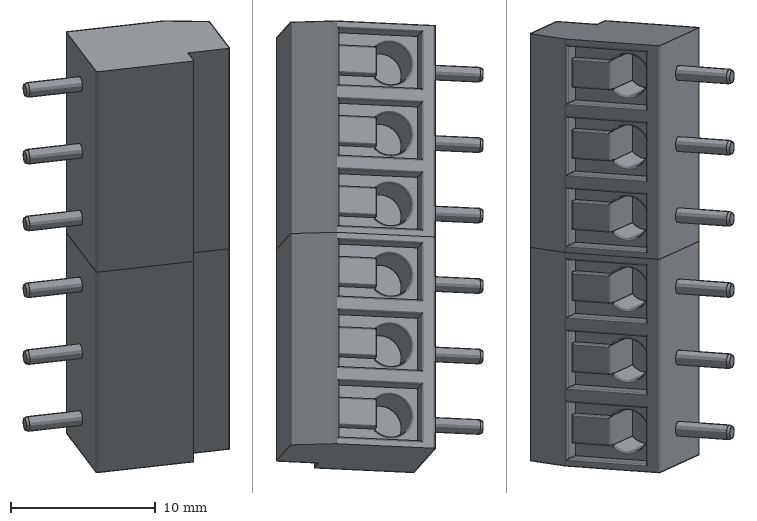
import cadquery as cq

row_height = 30.0
housing_count = 2
poles_per_housing = 3
housing_height = row_height / housing_count
pitch = housing_height / poles_per_housing
housing_width = 7.5
housing_length = 10.02
shoulder_length = 3.0
slope_inset = 1.0
step_depth = 1.5
edge_round = 0.1

window_start = 1.0
window_end = 6.8
window_height = 4.0
window_depth = 1.38

block_start = 4.0
block_height = 2.0
block_setback = 0.72

wire_hole_radius = 1.5
wire_hole_y = 2.9
wire_hole_depth = 3.6

pin_radius = 0.5
pin_length = 4.0
pin_x = 3.5
pin_chamfer_length = 0.2
pin_chamfer_inset = 0.1


def pole_heights(count):
    """Z of each pole axis, counted up from Z = 0."""
    return [(i + 0.5) * pitch for i in range(count)]


def box_between(x_range, y_range, z_center, height):
    """Box with the given X and Y ranges, centred on z_center."""
    return (
        cq.Workplane("XY")
        .box(x_range[1] - x_range[0], y_range[1] - y_range[0], height, centered=(False, False, True))
        .translate((x_range[0], y_range[0], z_center))
    )


def cut_window(housing, z):
    """Recess in the -X face, with its rim rounded."""
    window = box_between((0, window_depth), (window_start, window_end), z, window_height)
    rim = cq.selectors.BoxSelector(
        (-edge_round, window_start - edge_round, z - window_height / 2 - edge_round),
        (edge_round, window_end + edge_round, z + window_height / 2 + edge_round),
    )
    return housing.cut(window).edges(rim).fillet(edge_round)


def make_raised_block(z):
    """Block on the window floor, with the edges of its front face rounded."""
    block = box_between((block_setback, window_depth), (block_start, window_end), z, block_height)
    return block.faces("<X").edges().fillet(edge_round)


def cut_wire_hole(housing, z):
    """Round hole in the window floor, flat where it meets the raised block."""
    floor_x = window_depth
    hole = (
        cq.Workplane("YZ", origin=(floor_x, wire_hole_y, z))
        .circle(wire_hole_radius)
        .extrude(wire_hole_depth)
    )
    hole_side = box_between(
        (floor_x, floor_x + wire_hole_depth),
        (wire_hole_y - wire_hole_radius, block_start),
        z,
        2 * wire_hole_radius,
    )
    arc_rim = cq.selectors.BoxSelector(
        (floor_x - edge_round, wire_hole_y - wire_hole_radius, z - wire_hole_radius),
        (floor_x + edge_round, block_start, z + wire_hole_radius),
    )
    drilled = housing.cut(hole.intersect(hole_side))
    return drilled.edges(arc_rim).edges("%CIRCLE").fillet(edge_round)


def make_plain_housing():
    """Solid housing with its convex vertical edges rounded."""
    shoulder_y = housing_length - shoulder_length
    step_x = housing_width - step_depth
    body = (
        cq.Workplane("XY")
        .moveTo(0, 0)
        .lineTo(housing_width, 0)
        .lineTo(housing_width, shoulder_y)
        .lineTo(step_x, shoulder_y)
        .lineTo(step_x, housing_length)
        .lineTo(slope_inset, housing_length)
        .lineTo(0, shoulder_y)
        .close()
        .extrude(housing_height)
    )
    inner_corner = cq.selectors.NearestToPointSelector((step_x, shoulder_y, housing_height / 2))
    upright_edges = cq.selectors.StringSyntaxSelector("|Z")
    return body.edges(upright_edges - inner_corner).fillet(edge_round)


def make_housing(base_z):
    """One housing block standing on base_z."""
    housing = make_plain_housing()
    for z in pole_heights(poles_per_housing):
        housing = cut_window(housing, z)
        housing = housing.union(make_raised_block(z))
        housing = cut_wire_hole(housing, z)
    return housing.translate((0, 0, base_z))


def make_pin(z):
    """Round pin with a chamfered free end."""
    pin = cq.Workplane("XZ", origin=(pin_x, 0, z)).circle(pin_radius).extrude(pin_length)
    return pin.faces("<Y").chamfer(pin_chamfer_length, pin_chamfer_inset)


housings = [make_housing(i * housing_height) for i in range(housing_count)]
pins = [make_pin(z) for z in pole_heights(housing_count * poles_per_housing)]

result = cq.Compound.makeCompound([body.val() for body in housings + pins])